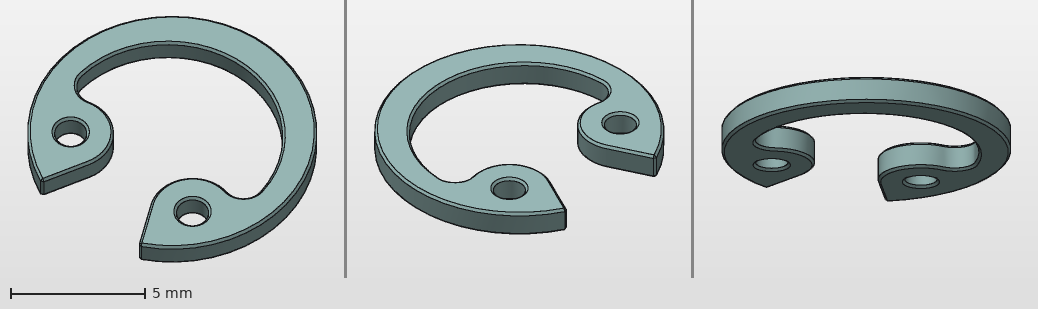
import cadquery as cq
import math

thickness = 1.0
outer_radius = 5.38
inner_radius = 4.28
inner_center_y = -0.26
lug_x = 2.92
lug_y = -2.4
lug_radius = 1.59
hole_diameter = 1.2
fillet_radius = 0.79
edge_chamfer = 0.1


def polar(center, radius, angle):
    """Point at a radius and angle (radians) about a center."""
    return (center[0] + radius * math.cos(angle), center[1] + radius * math.sin(angle))


def direction(start, end):
    """Angle (radians) of the line from start to end."""
    return math.atan2(end[1] - start[1], end[0] - start[0])


def mirrored(point):
    return (-point[0], point[1])


ring_center = (0, 0)
bore_center = (0, inner_center_y)
lug_center = (lug_x, lug_y)
lug_distance = math.hypot(lug_x, lug_y)
end_angle = direction(ring_center, lug_center) - math.asin(lug_radius / lug_distance)
tip = polar(ring_center, outer_radius, end_angle)
lug_start = polar(ring_center, math.sqrt(lug_distance**2 - lug_radius**2), end_angle)

bore_to_blend = inner_radius - fillet_radius
lug_to_blend = lug_radius + fillet_radius
bore_to_lug = math.dist(bore_center, lug_center)
blend_offset = math.acos(
    (bore_to_blend**2 + bore_to_lug**2 - lug_to_blend**2) / (2 * bore_to_blend * bore_to_lug)
)
blend_angle = direction(bore_center, lug_center) + blend_offset
blend_center = polar(bore_center, bore_to_blend, blend_angle)

lug_end_angle = direction(lug_center, blend_center)
lug_end = polar(lug_center, lug_radius, lug_end_angle)
lug_start_angle = direction(lug_center, lug_start) + 2 * math.pi
lug_middle = polar(lug_center, lug_radius, (lug_start_angle + lug_end_angle) / 2)

bore_start = polar(bore_center, inner_radius, blend_angle)
blend_middle_angle = (lug_end_angle - math.pi + blend_angle) / 2
blend_middle = polar(blend_center, fillet_radius, blend_middle_angle)
bore_top = (0, inner_center_y + inner_radius)

ring = (
    cq.Workplane("XY")
    .moveTo(*tip)
    .lineTo(*lug_start)
    .threePointArc(lug_middle, lug_end)
    .threePointArc(blend_middle, bore_start)
    .threePointArc(bore_top, mirrored(bore_start))
    .threePointArc(mirrored(blend_middle), mirrored(lug_end))
    .threePointArc(mirrored(lug_middle), mirrored(lug_start))
    .lineTo(*mirrored(tip))
    .threePointArc((0, outer_radius), tip)
    .close()
    .extrude(thickness)
)

holes = (
    cq.Workplane("XY")
    .pushPoints([lug_center, mirrored(lug_center)])
    .circle(hole_diameter / 2)
    .extrude(thickness)
)
ring = ring.cut(holes)

face_edges = ring.faces("<Z or >Z").edges()
tip_edges = ring.edges("|Z").edges("<Y")
result = face_edges.add(tip_edges).chamfer(edge_chamfer)